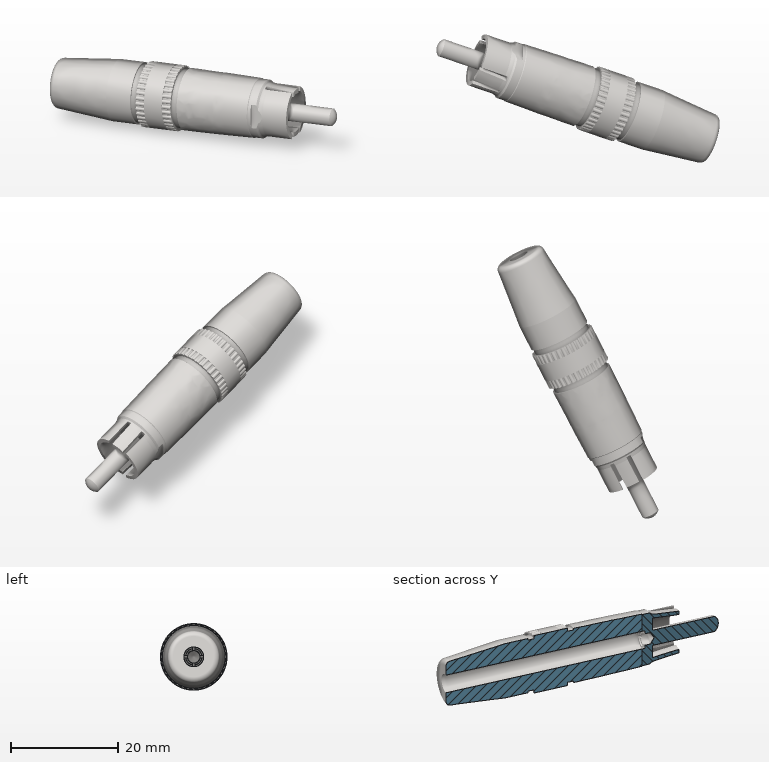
import cadquery as cq
import math


BOOT_TAPER_END = 12.0
BOOT_END = 16.9
GRIP_START = 18.05
GRIP_END = 25.0
SLEEVE_START = 26.15
SLEEVE_END = 40.25

BOOT_REAR_RADIUS = 4.7
BOOT_RADIUS = 5.85
NECK_RADIUS = 5.55
GRIP_RADIUS = 6.2
SLEEVE_RADIUS = 5.85
SLEEVE_END_RADIUS = 5.65
SLEEVE_BOW = 0.045
BOOT_REAR_FILLET = 0.95
CABLE_BORE_RADIUS = 1.85

TEETH = 36
TOOTH_HEIGHT = 0.2
TOOTH_HALF_ANGLE = math.radians(3.3)
KNURL_WIDTH = 1.7
ROOT_RADIUS = GRIP_RADIUS - TOOTH_HEIGHT

COLLAR_RADIUS = NECK_RADIUS
COLLAR_BEVEL_START = 41.8
COLLAR_BEVEL = 0.35
FLAT_START = 40.8

FINGER_RADIUS = 5.05
FINGER_ROOT = 42.45
FINGER_STRAIGHT_START = 42.95
FINGER_END = 47.8
FINGER_WALL = 0.85
BENT_TIP_RADIUS = 4.5
BENT_FINGER_WIDTH = 2.55
SIDE_FINGER_GAP = 4.25

PIN_RADIUS = 1.7
PIN_DOME_START = 55.1
PIN_END = 55.9

RECESS_RADIUS = 1.2
RECESS_DEPTH = 1.7
RECESS_TIP_LENGTH = 0.7
COUNTERBORE_RADIUS = 1.5
COUNTERBORE_DEPTH = 0.3
CROSS_SLOT_WIDTH = 0.45
CROSS_SLOT_DEPTH = 0.55


def revolve_about_x(profile):
    """Turn a closed outline, drawn as (x, radius), once round the X axis."""
    return profile.close().revolve(360, (0, 0, 0), (1, 0, 0))


def cylinder(start, end, radius):
    return cq.Workplane("YZ").workplane(offset=start).circle(radius).extrude(end - start)


def box_from(start, end, width_y, width_z):
    return cq.Workplane("YZ").workplane(offset=start).rect(width_y, width_z).extrude(end - start)


def knurl_band(start):
    """Root cylinder with rounded teeth, built as one toothed outline pushed along X."""
    def polar(radius, angle):
        return radius * math.cos(angle), radius * math.sin(angle)

    pitch = 2 * math.pi / TEETH
    outline = cq.Workplane("YZ").workplane(offset=start).moveTo(*polar(ROOT_RADIUS, -TOOTH_HALF_ANGLE))
    for tooth in range(TEETH):
        centre = tooth * pitch
        outline = outline.threePointArc(
            polar(GRIP_RADIUS, centre), polar(ROOT_RADIUS, centre + TOOTH_HALF_ANGLE))
        outline = outline.threePointArc(
            polar(ROOT_RADIUS, centre + pitch / 2), polar(ROOT_RADIUS, centre + pitch - TOOTH_HALF_ANGLE))
    return outline.close().extrude(KNURL_WIDTH)


def make_housing():
    sleeve_edge = SLEEVE_END_RADIUS - NECK_RADIUS
    sleeve_bevel_start = SLEEVE_END - sleeve_edge
    sleeve_middle = (SLEEVE_START + sleeve_bevel_start) / 2
    sleeve_middle_radius = (SLEEVE_RADIUS + SLEEVE_END_RADIUS) / 2 + SLEEVE_BOW
    body = revolve_about_x(
        cq.Workplane("XY")
        .lineTo(0, BOOT_REAR_RADIUS)
        .lineTo(BOOT_TAPER_END, BOOT_RADIUS)
        .lineTo(BOOT_END, BOOT_RADIUS)
        .lineTo(BOOT_END, NECK_RADIUS)
        .lineTo(SLEEVE_START, NECK_RADIUS)
        .lineTo(SLEEVE_START, SLEEVE_RADIUS)
        .threePointArc((sleeve_middle, sleeve_middle_radius), (sleeve_bevel_start, SLEEVE_END_RADIUS))
        .lineTo(SLEEVE_END, NECK_RADIUS)
        .lineTo(SLEEVE_END, 0)
    )
    body = body.faces("<X").edges().fillet(BOOT_REAR_FILLET)
    grip = cylinder(GRIP_START + KNURL_WIDTH, GRIP_END - KNURL_WIDTH, GRIP_RADIUS)
    for band_start in (GRIP_START, GRIP_END - KNURL_WIDTH):
        grip = grip.union(knurl_band(band_start))
    return body.union(grip).cut(cylinder(0, SLEEVE_END, CABLE_BORE_RADIUS))


def collar_with_skirt(tip_radius):
    """Collar carrying a full skirt whose wall runs straight to the given tip radius."""
    bevel_end = COLLAR_BEVEL_START + COLLAR_BEVEL
    bevel_end_radius = COLLAR_RADIUS - COLLAR_BEVEL
    return revolve_about_x(
        cq.Workplane("XY")
        .moveTo(SLEEVE_END, 0)
        .lineTo(SLEEVE_END, COLLAR_RADIUS)
        .lineTo(COLLAR_BEVEL_START, COLLAR_RADIUS)
        .lineTo(bevel_end, bevel_end_radius)
        .lineTo(FINGER_STRAIGHT_START, FINGER_RADIUS)
        .lineTo(FINGER_END, tip_radius)
        .lineTo(FINGER_END, tip_radius - FINGER_WALL)
        .lineTo(FINGER_ROOT, FINGER_RADIUS - FINGER_WALL)
        .lineTo(FINGER_ROOT, 0)
    )


def make_fingered_collar():
    diameter = 2 * COLLAR_RADIUS
    straight = collar_with_skirt(FINGER_RADIUS)
    side_gap = box_from(FINGER_ROOT, FINGER_END, SIDE_FINGER_GAP, diameter)
    bent_fingers = collar_with_skirt(BENT_TIP_RADIUS).intersect(
        box_from(SLEEVE_END, FINGER_END, BENT_FINGER_WIDTH, diameter))
    collar = straight.cut(side_gap).union(bent_fingers)
    flat_tool = box_from(FLAT_START, FINGER_END, 2 * diameter, diameter).cut(
        box_from(FLAT_START, FINGER_END, 2 * FINGER_RADIUS, diameter))
    return collar.cut(flat_tool)


def make_pin():
    dome_height = PIN_END - PIN_DOME_START
    dome_radius = (PIN_RADIUS ** 2 + dome_height ** 2) / (2 * dome_height)
    mid_angle = math.asin(PIN_RADIUS / dome_radius) / 2
    dome_centre = PIN_END - dome_radius
    dome_middle = (dome_centre + dome_radius * math.cos(mid_angle), dome_radius * math.sin(mid_angle))
    return revolve_about_x(
        cq.Workplane("XY")
        .moveTo(FINGER_ROOT, 0)
        .lineTo(FINGER_ROOT, PIN_RADIUS)
        .lineTo(PIN_DOME_START, PIN_RADIUS)
        .threePointArc(dome_middle, (PIN_END, 0))
    )


def make_rear_recess():
    """Counterbored hole with a conical bottom, crossed by two narrow slots."""
    counterbore_end = SLEEVE_END + COUNTERBORE_DEPTH
    recess_end = SLEEVE_END + RECESS_DEPTH
    recess = revolve_about_x(
        cq.Workplane("XY")
        .moveTo(SLEEVE_END, 0)
        .lineTo(SLEEVE_END, COUNTERBORE_RADIUS)
        .lineTo(counterbore_end, COUNTERBORE_RADIUS)
        .lineTo(counterbore_end, RECESS_RADIUS)
        .lineTo(recess_end, RECESS_RADIUS)
        .lineTo(recess_end + RECESS_TIP_LENGTH, 0)
    )
    slot_length = 2 * CABLE_BORE_RADIUS
    slot_end = SLEEVE_END + CROSS_SLOT_DEPTH
    recess = recess.union(box_from(SLEEVE_END, slot_end, slot_length, CROSS_SLOT_WIDTH))
    return recess.union(box_from(SLEEVE_END, slot_end, CROSS_SLOT_WIDTH, slot_length))


def make_plug():
    return make_fingered_collar().union(make_pin()).cut(make_rear_recess())


housing = make_housing()
plug = make_plug()

result = cq.Compound.makeCompound([housing.val(), plug.val()])